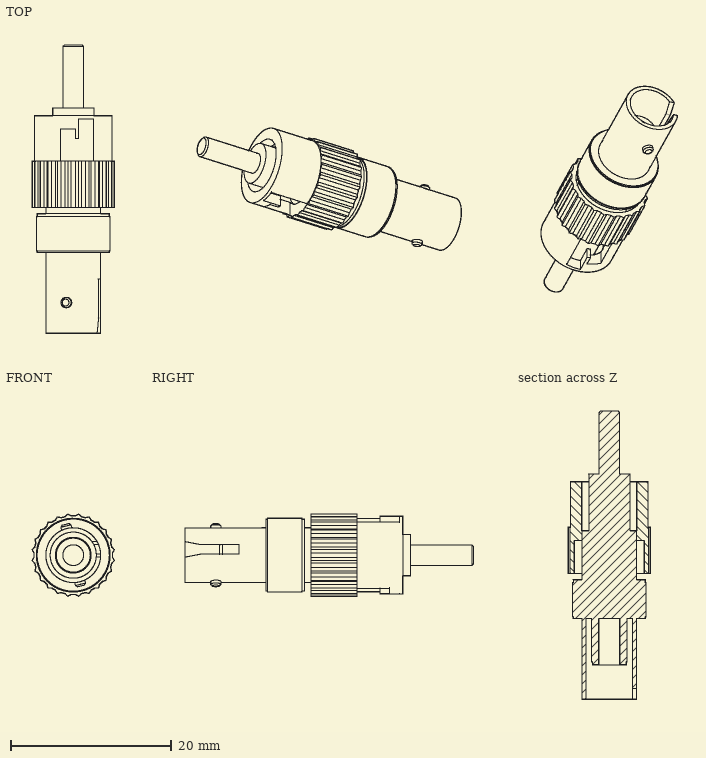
import cadquery as cq
import math


TOTAL_LENGTH = 36.07
COLLAR_FRONT = 10.1
COLLAR_BACK = 14.97
NECK_BACK = 21.1
FLANGE_BACK = 28.2

TUBE_RADIUS = 3.43
COLLAR_RADIUS = 4.6
BARREL_RADIUS = 2.6
FERRULE_RADIUS = 1.3
COLLAR_RIM_RADIUS = 4.5
COLLAR_FRONT_RIM = 0.2
COLLAR_BACK_RIM = 0.35
FERRULE_CHAMFER = 0.2

SOCKET_RADIUS = 2.9
SOCKET_DEPTH = COLLAR_FRONT
SLEEVE_RADIUS = 2.25
SLEEVE_TIP_RADIUS = 2.13
SLEEVE_TIP_LENGTH = 0.35
SLEEVE_RECESS = 4.33

KEYWAY_LENGTH = 6.78
KEYWAY_WIDTH = 1.2
KEYWAY_MOUTH_WIDTH = 1.95
KEYWAY_FLARE_LENGTH = 1.95
KEYWAY_CENTRE_Z = 0.72

PIN_COUNT = 2
PIN_RADIUS = 0.65
PIN_TIP_RADIUS = 3.95
PIN_STATION = 3.85
PIN_CHAMFER = 0.2
PIN_TILT = 14.0

NUT_FRONT = 15.73
KNURL_BACK = 21.55
NUT_BACK = 27.25
NUT_RADIUS = 4.87
NUT_BORE_RADIUS = TUBE_RADIUS
NUT_RECESS_RADIUS = 4.35
NUT_RECESS_END = 19.85

RIDGE_COUNT = 24
RIDGE_PITCH = 360.0 / RIDGE_COUNT
RIDGE_RADIUS = 5.2
GROOVE_RADIUS = 4.95
GROOVE_FLOOR_ANGLE = 6.4

WINDOW_COUNT = 2
LATCH_LEFT = -1.6
LATCH_RIGHT = 0.25
ENTRY_LEFT = 0.7
ENTRY_RIGHT = 2.52
LATCH_END = 25.57
ENTRY_END = 26.8
HOOK_TIP = 24.35
HOOK_X = (LATCH_RIGHT + ENTRY_LEFT) / 2


def cylinder(radius, start, end):
    """Cylinder on the connector axis between two stations along Y."""
    return cq.Workplane("XZ", origin=(0, start, 0)).circle(radius).extrude(start - end)


def make_collar():
    """Collar with a shallow rim stepped down at each end."""
    collar = cylinder(COLLAR_RADIUS, COLLAR_FRONT + COLLAR_FRONT_RIM, COLLAR_BACK - COLLAR_BACK_RIM)
    return collar.union(cylinder(COLLAR_RIM_RADIUS, COLLAR_FRONT, COLLAR_BACK))


def make_pins():
    """Radial bayonet pins, evenly spaced and tilted about the connector axis."""
    pins = cq.Workplane("XY")
    pin_length = PIN_TIP_RADIUS - (SOCKET_RADIUS + TUBE_RADIUS) / 2
    pin = (
        cq.Workplane("XY", origin=(0, PIN_STATION, PIN_TIP_RADIUS))
        .circle(PIN_RADIUS)
        .extrude(-pin_length)
        .faces(">Z")
        .edges()
        .chamfer(PIN_CHAMFER)
    )
    for index in range(PIN_COUNT):
        angle = -PIN_TILT + index * 360.0 / PIN_COUNT
        pins = pins.add(pin.rotate((0, 0, 0), (0, 1, 0), angle))
    return pins


def make_socket():
    """Annular cavity around a recessed, stepped sleeve that is bored to the ferrule size."""
    sleeve = cylinder(SLEEVE_TIP_RADIUS, SLEEVE_RECESS, SOCKET_DEPTH)
    sleeve = sleeve.union(cylinder(SLEEVE_RADIUS, SLEEVE_RECESS + SLEEVE_TIP_LENGTH, SOCKET_DEPTH))
    sleeve = sleeve.cut(cylinder(FERRULE_RADIUS, SLEEVE_RECESS, SOCKET_DEPTH))
    return cylinder(SOCKET_RADIUS, 0, SOCKET_DEPTH).cut(sleeve)


def make_keyway():
    """Slot through the +X wall of the tube, flared towards the open end."""
    half_width = KEYWAY_WIDTH / 2
    half_mouth = KEYWAY_MOUTH_WIDTH / 2
    return (
        cq.Workplane("YZ", origin=(0, 0, KEYWAY_CENTRE_Z))
        .polyline([
            (0, -half_mouth),
            (KEYWAY_FLARE_LENGTH, -half_width),
            (KEYWAY_LENGTH, -half_width),
            (KEYWAY_LENGTH, half_width),
            (KEYWAY_FLARE_LENGTH, half_width),
            (0, half_mouth),
        ])
        .close()
        .extrude(TUBE_RADIUS)
        .cut(cylinder(SLEEVE_RADIUS, 0, KEYWAY_LENGTH))
    )


def make_connector():
    ferrule = cylinder(FERRULE_RADIUS, FLANGE_BACK, TOTAL_LENGTH).faces(">Y").edges().chamfer(FERRULE_CHAMFER)
    connector = cylinder(TUBE_RADIUS, 0, NECK_BACK)
    connector = connector.union(make_collar())
    connector = connector.union(cylinder(BARREL_RADIUS, NECK_BACK, FLANGE_BACK))
    connector = connector.union(ferrule)
    for pin in make_pins().vals():
        connector = connector.union(cq.Workplane(pin))
    return connector.cut(make_socket()).cut(make_keyway())


def knurl_point(radius, angle):
    """Point of the knurl outline, with the angle in degrees measured from the X axis."""
    return (radius * math.cos(math.radians(angle)), radius * math.sin(math.radians(angle)))


def make_knurl():
    outline = []
    for index in range(RIDGE_COUNT):
        groove_angle = index * RIDGE_PITCH
        outline.append(knurl_point(GROOVE_RADIUS, groove_angle - GROOVE_FLOOR_ANGLE / 2))
        outline.append(knurl_point(GROOVE_RADIUS, groove_angle + GROOVE_FLOOR_ANGLE / 2))
        outline.append(knurl_point(RIDGE_RADIUS, groove_angle + RIDGE_PITCH / 2))
    return cq.Workplane("XZ", origin=(0, NUT_FRONT, 0)).polyline(outline).close().extrude(NUT_FRONT - KNURL_BACK)


def make_window():
    """Hook-shaped window through the nut wall: an entry channel and a shorter latch channel."""
    return (
        cq.Workplane("XY")
        .polyline([
            (LATCH_LEFT, KNURL_BACK),
            (LATCH_LEFT, LATCH_END),
            (LATCH_RIGHT, LATCH_END),
            (LATCH_RIGHT, HOOK_TIP),
            (ENTRY_LEFT, HOOK_TIP),
            (ENTRY_LEFT, ENTRY_END),
            (ENTRY_RIGHT, ENTRY_END),
            (ENTRY_RIGHT, KNURL_BACK),
        ])
        .close()
        .extrude(NUT_RADIUS)
    )


def make_nut():
    nut = cylinder(NUT_RADIUS, KNURL_BACK, NUT_BACK).union(make_knurl())
    nut = nut.cut(cylinder(NUT_BORE_RADIUS, NUT_FRONT, NUT_BACK))
    nut = nut.cut(cylinder(NUT_RECESS_RADIUS, NUT_FRONT, NUT_RECESS_END))
    window = make_window()
    for index in range(WINDOW_COUNT):
        nut = nut.cut(window.rotate((HOOK_X, 0, 0), (HOOK_X, 1, 0), index * 360.0 / WINDOW_COUNT))
    return nut


connector = make_connector()
nut = make_nut()

result = cq.Compound.makeCompound([connector.val(), nut.val()])